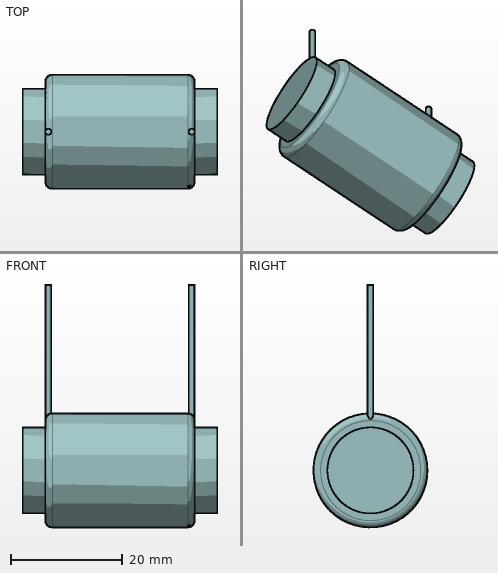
import cadquery as cq

total_height = 43.7
core_length = 35.05
core_diameter = 15.5

body_length = 26.9
body_diameter = 20.58
body_edge_radius = 1.25

lead_diameter = 1.1

body_radius = body_diameter / 2
lead_top = total_height - body_radius
lead_offset = (body_length - lead_diameter) / 2


def cylinder_along_x(length, diameter):
    """Cylinder on the X axis, centred on the origin."""
    return cq.Workplane("YZ", origin=(-length / 2, 0, 0)).circle(diameter / 2).extrude(length)


def lead(x):
    """Vertical wire from the body axis up to the top of the part."""
    return cq.Workplane("XY").center(x, 0).circle(lead_diameter / 2).extrude(lead_top)


core = cylinder_along_x(core_length, core_diameter)
body = cylinder_along_x(body_length, body_diameter).edges().fillet(body_edge_radius)

result = core.union(body)
for x in (-lead_offset, lead_offset):
    result = result.union(lead(x))